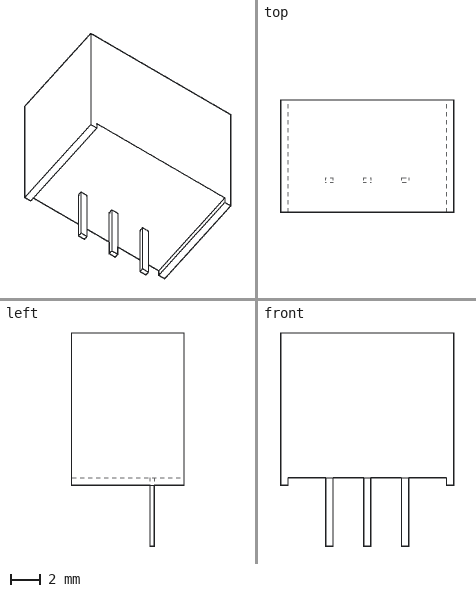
import cadquery as cq

length = 11.6
width = 7.55
total_height = 14.3
pin_protrusion = 4.09
foot_width = 0.5
foot_height = 0.5

pin_count = 3
pin_pitch = 2.55
pin_width = 0.5
pin_thickness = 0.3
pin_row_y = -1.63

underside_z = pin_protrusion + foot_height


def block(size_x, size_y, bottom_z, top_z, center_x=0, center_y=0):
    """Upright box between two heights, centred on a point in plan."""
    return (
        cq.Workplane("XY", origin=(center_x, center_y, bottom_z))
        .rect(size_x, size_y)
        .extrude(top_z - bottom_z)
    )


def make_housing():
    """Block with a channel along Y underneath, leaving a foot at each end."""
    body = block(length, width, pin_protrusion, total_height)
    channel = block(length - 2 * foot_width, width, pin_protrusion, underside_z)
    return body.cut(channel)


result = make_housing()
for index in range(pin_count):
    pin_x = (index - (pin_count - 1) / 2) * pin_pitch
    result = result.union(block(pin_width, pin_thickness, 0, underside_z, pin_x, pin_row_y))